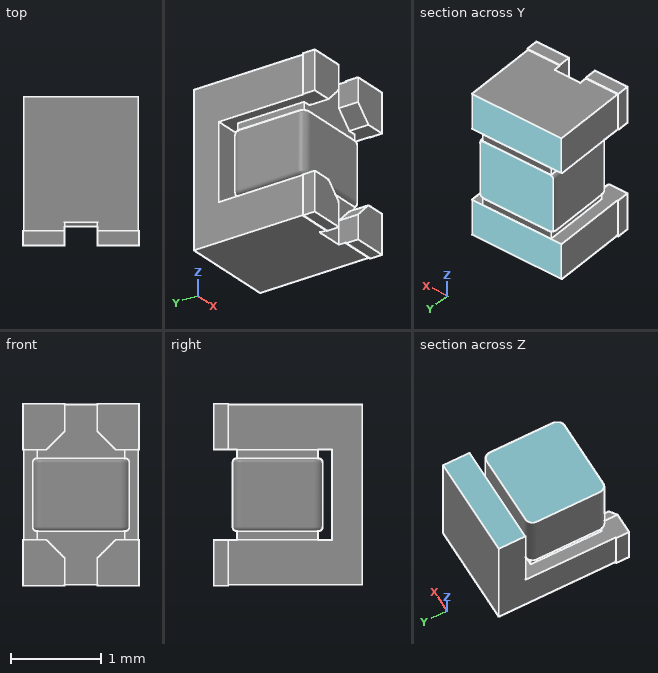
import cadquery as cq

core_width = 1.27
core_height = 2.0
total_depth = 1.65
back_thickness = 0.34
window_height = 1.0

pad_thickness = 0.165
pad_overhang = 0.01
pad_gap = 0.365
pad_chamfer = 0.2

recess_depth = 0.26
post_width = 0.97
post_depth = 0.9

winding_thickness = 0.05
winding_height = 0.81
winding_corner_radius = 0.1
winding_edge_radius = 0.05

front_y = -total_depth / 2
back_y = total_depth / 2
core_front_y = front_y + pad_thickness
recess_y = front_y + recess_depth
post_center_y = recess_y + post_depth / 2
pad_outer_x = core_width / 2 + pad_overhang
pad_inner_x = pad_gap / 2
pad_outer_z = core_height / 2 + pad_overhang
pad_inner_z = window_height / 2


def box_between(width, height, y_start, y_end):
    """Box centred on X and Z that spans y_start to y_end."""
    return cq.Workplane("XY").box(width, y_end - y_start, height).translate((0, (y_start + y_end) / 2, 0))


def make_core():
    """C-shaped core, with its leg fronts at the recess face."""
    body = box_between(core_width, core_height, recess_y, back_y)
    window = box_between(core_width, window_height, recess_y, back_y - back_thickness)
    return body.cut(window)


def corner_outline(sign_x, sign_z, outer_x, outer_z):
    """Corner block outline in XZ, chamfered at the corner nearest the part's centre."""
    points = [
        (outer_x, outer_z),
        (outer_x, pad_inner_z),
        (pad_inner_x + pad_chamfer, pad_inner_z),
        (pad_inner_x, pad_inner_z + pad_chamfer),
        (pad_inner_x, outer_z),
    ]
    mirrored = [(sign_x * x, sign_z * z) for x, z in points]
    return cq.Workplane("XZ").polyline(mirrored).close()


def make_corner(sign_x, sign_z):
    """Core pedestal reaching out of the recess face, capped by its terminal pad."""
    pedestal = corner_outline(sign_x, sign_z, core_width / 2, core_height / 2)
    pedestal = pedestal.extrude(recess_y - core_front_y).translate((0, recess_y, 0))
    pad = corner_outline(sign_x, sign_z, pad_outer_x, pad_outer_z)
    pad = pad.extrude(pad_thickness).translate((0, core_front_y, 0))
    return pedestal.union(pad)


def make_post():
    return box_between(post_width, window_height, recess_y, recess_y + post_depth)


def make_winding():
    """Winding block with rounded upright corners and softened top and bottom rims."""
    winding = cq.Workplane("XY").box(
        post_width + 2 * winding_thickness,
        post_depth + 2 * winding_thickness,
        winding_height,
    )
    winding = winding.edges("|Z").fillet(winding_corner_radius)
    winding = winding.faces("<Z or >Z").edges().fillet(winding_edge_radius)
    return winding.translate((0, post_center_y, 0))


result = make_core().union(make_post()).union(make_winding())
for side_x in (-1, 1):
    for side_z in (-1, 1):
        result = result.union(make_corner(side_x, side_z))